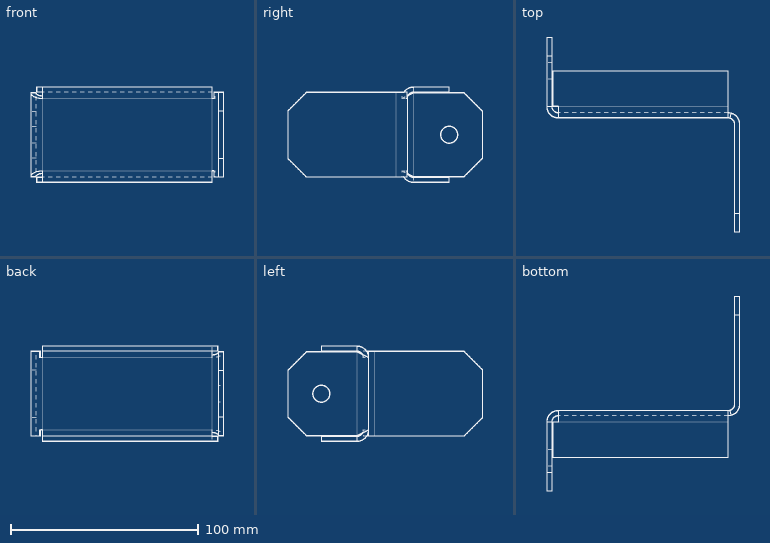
import cadquery as cq
import math

length = 103.0
depth = 104.0
height = 51.0
thickness = 2.8
outer_radius = 6.1
inner_radius = outer_radius - thickness

web_start = outer_radius
web_end = length - outer_radius
web_height = height - 2 * outer_radius

tray_depth = 25.2
tray_flange_start = 3.1
rear_reach = 43.1
front_reach = depth - rear_reach
rear_tab_height = 44.9
front_tab_height = height - 2 * thickness
corner_cut = 10.0
hole_diameter = 8.9
hole_offset = tray_depth
relief_angle = 15.0


def block(x_start, x_end, y_start, y_end, block_height):
    """A box centred on z = 0."""
    size = (x_end - x_start, y_end - y_start, block_height)
    return cq.Workplane("XY").box(*size, centered=(False, False, True)).translate((x_start, y_start, 0))


def bend(plane, center, start_angle, end_angle, width):
    """A ring sector of sheet with the given total width, centred on the plane."""
    def point(radius, angle):
        turn = math.radians(angle)
        return (center[0] + radius * math.cos(turn), center[1] + radius * math.sin(turn))

    middle_angle = (start_angle + end_angle) / 2
    return (
        cq.Workplane(plane)
        .moveTo(*point(inner_radius, start_angle))
        .lineTo(*point(outer_radius, start_angle))
        .threePointArc(point(outer_radius, middle_angle), point(outer_radius, end_angle))
        .lineTo(*point(inner_radius, end_angle))
        .threePointArc(point(inner_radius, middle_angle), point(inner_radius, start_angle))
        .close()
        .extrude(width / 2, both=True)
    )


def upper_tray_flange():
    flat = (
        cq.Workplane("XY")
        .box(web_end - tray_flange_start, tray_depth - outer_radius, thickness, centered=False)
        .translate((tray_flange_start, outer_radius, height / 2 - thickness))
    )
    curve = bend("YZ", (outer_radius, web_height / 2), 90, 180, web_end - web_start)
    return flat.union(curve.translate(((web_start + web_end) / 2, 0, 0)))


def rear_tab():
    flat = block(0, thickness, outer_radius, rear_reach, rear_tab_height)
    flat = flat.edges("|X and >Y").chamfer(corner_cut)
    hole = (
        cq.Workplane("YZ")
        .center(hole_offset, 0)
        .circle(hole_diameter / 2)
        .extrude(thickness)
    )
    taper = (
        cq.Workplane("YZ")
        .polyline([
            (0, -web_height / 2),
            (outer_radius, -rear_tab_height / 2),
            (outer_radius, rear_tab_height / 2),
            (0, web_height / 2),
        ])
        .close()
        .extrude(outer_radius)
    )
    curve = bend("XY", (outer_radius, outer_radius), 180, 270, rear_tab_height).intersect(taper)
    return flat.cut(hole).union(curve)


def front_tab():
    center = (web_end, -inner_radius)
    flat = block(length - thickness, length, -front_reach, center[1], front_tab_height)
    flat = flat.edges("|X and <Y").chamfer(corner_cut)
    neck = bend("XY", center, 90 - relief_angle, 90, web_height)
    curve = bend("XY", center, 0, 90 - relief_angle, front_tab_height)
    return flat.union(curve).union(neck)


web = block(web_start, web_end, 0, thickness, web_height)
upper_flange = upper_tray_flange()
lower_flange = upper_flange.mirror("XY")

result = web.union(upper_flange).union(lower_flange).union(rear_tab()).union(front_tab())